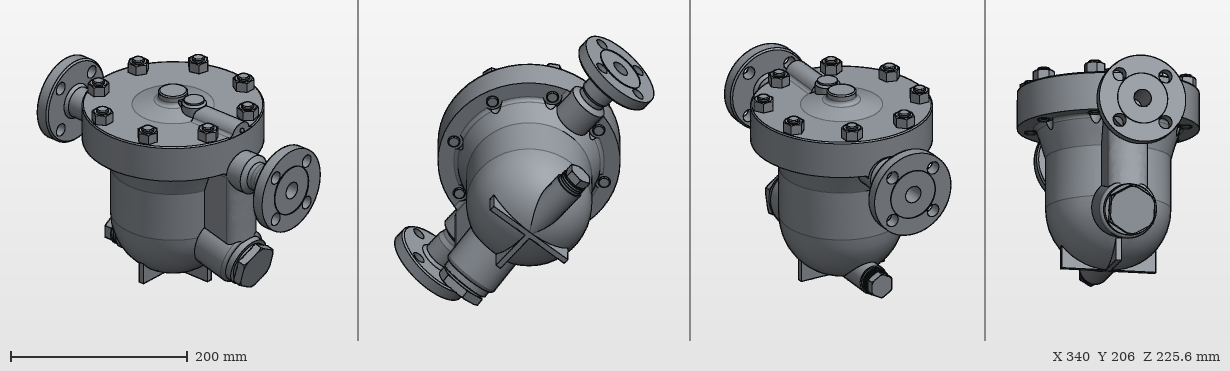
import cadquery as cq
import math


body_radius = 71.0
dome_center_z = -89.0
base_z = dome_center_z - body_radius
neck_radius = 80.5
neck_top_z = -0.5
neck_bottom_z = -30.4
flange_underside_z = 4.0
flange_underside_blend = flange_underside_z - neck_top_z

cover_radius = 103.0
joint_z = 26.8
cover_top_z = 47.5
cover_edge_chamfer = 1.5
crown_base_radius = 46.5
crown_top_radius = 21.5
crown_top_z = 53.5
cap_radius = 16.5
cap_blend = crown_top_radius - cap_radius
overall_height = 225.6
cap_top_z = base_z + overall_height
cap_chamfer = 1.5

bolt_count = 8
bolt_circle_radius = 89.0
first_bolt_angle = 180.0 / bolt_count
nut_across_flats = 21.0
nut_height = 12.3
nut_chamfer = 1.2
stud_diameter = 14.0
stud_top_z = 63.0
stud_bottom_z = 2.0
stud_chamfer = 1.2
spotface_diameter = 21.0
spotface_depth = 14.0

passage_radius = 15.0
passage_top_z = 60.0
passage_axis_z = passage_top_z - passage_radius
passage_start_x = 42.0
passage_end_radius = cover_radius - 0.2
passage_blend = 5.0
side_boss_x = 31.5
side_boss_radius = 14.0
side_cap_radius = 11.5
side_boss_top_z = 60.5
side_cap_top_z = 65.0
web_width = 15.0
pin_radius = 2.5
pin_z = 50.5
pin_tip_x = 106.0

inlet_face_x = -161.5
outlet_face_x = 178.5
pipe_flange_radius = 50.0
pipe_flange_thickness = 15.0
pipe_flange_chamfer = 2.0
raised_face_radius = 29.0
raised_face_height = 1.0
bore_radius = 10.0
bore_depth = 50.0
pipe_bolt_hole_diameter = 15.0
pipe_bolt_circle_radius = 37.5
pipe_bolt_count = 4
pipe_radius = 18.0
pipe_hub_radius = 21.0
pipe_hub_length = 4.0
weld_neck_radius = 16.3
port_boss_radius = 23.0
blend_overlap = 0.15
inlet_pipe_end_x = -118.0
inlet_weld_x = -115.0
inlet_weld_end_x = -109.5
inlet_boss_x = -105.0
outlet_pipe_end_x = 137.5
outlet_weld_x = 131.0
outlet_weld_end_x = 125.5
outlet_boss_x = 121.0

riser_flat_x = 100.5
riser_tip_x = 114.0
riser_half_width = port_boss_radius - 0.1
riser_bottom_z = -115.0

strainer_slope = 15.0
strainer_axis_z = -84.4
strainer_boss_radius = 33.0
strainer_boss_length = 109.0
strainer_face_radius = 29.0
strainer_face_end = 117.0
strainer_boss_rounding = 0.98 * (strainer_boss_radius - strainer_face_radius)
strainer_collar_radius = 49.5 / 2
strainer_collar_end = 120.4
strainer_plug_end = 130.3
strainer_hex_across_flats = 50.0

drain_boss_radius = 17.0
drain_axis_z = base_z + drain_boss_radius
drain_boss_length = 71.3
drain_seal_radius = 15.3
drain_seal_end = 80.0
drain_groove_start = 74.2
drain_groove_end = 77.0
drain_groove_radius = 14.5
drain_neck_radius = 14.0
drain_collar_end = 81.6
drain_plug_end = 91.2
drain_hex_across_flats = 26.0

rib_thickness = 6.5
rib_reach = 54.5
rib_top_z = -126.0


def turned(profile):
    """Solid of revolution about Z from (radius, z) points."""
    return cq.Workplane("XZ").polyline(profile).close().revolve(360, (0, 0, 0), (0, 1, 0))


def cylinder(radius, bottom, top):
    return cq.Workplane("XY").workplane(offset=bottom).circle(radius).extrude(top - bottom)


def hexagon(across_flats, bottom, top, chamfer):
    """Hexagonal prism with two flats facing +/-X and its corners turned off at the top."""
    corner_radius = across_flats / math.sqrt(3)
    prism = cq.Workplane("XY").workplane(offset=bottom)
    prism = prism.polygon(6, 2 * corner_radius).extrude(top - bottom).rotate((0, 0, 0), (0, 0, 1), 30)
    envelope = turned([
        (0, bottom),
        (corner_radius, bottom),
        (corner_radius, top - chamfer),
        (corner_radius - 2 * chamfer, top),
        (0, top),
    ])
    return prism.intersect(envelope)


def toward_x(shape, slope=0.0):
    """Lay a shape built along +Z onto +X, sloping down by the given angle."""
    return shape.rotate((0, 0, 0), (0, 1, 0), 90 + slope)


def toward_minus_x(shape):
    return shape.rotate((0, 0, 0), (0, 1, 0), -90)


def make_body():
    profile = (
        cq.Workplane("XZ")
        .moveTo(0, base_z)
        .radiusArc((body_radius, dome_center_z), -body_radius)
        .lineTo(body_radius, neck_bottom_z)
        .lineTo(neck_radius, neck_top_z)
        .radiusArc((neck_radius + flange_underside_blend, flange_underside_z), flange_underside_blend)
        .lineTo(cover_radius, flange_underside_z)
        .lineTo(cover_radius, joint_z)
        .lineTo(0, joint_z)
        .close()
    )
    return profile.revolve(360, (0, 0, 0), (0, 1, 0))


def make_cover():
    profile = (
        cq.Workplane("XZ")
        .moveTo(0, joint_z)
        .lineTo(cover_radius, joint_z)
        .lineTo(cover_radius, cover_top_z - cover_edge_chamfer)
        .lineTo(cover_radius - cover_edge_chamfer, cover_top_z)
        .lineTo(crown_base_radius, cover_top_z)
        .lineTo(crown_top_radius, crown_top_z)
        .radiusArc((cap_radius, crown_top_z + cap_blend), cap_blend)
        .lineTo(cap_radius, cap_top_z - cap_chamfer)
        .lineTo(cap_radius - cap_chamfer, cap_top_z)
        .lineTo(0, cap_top_z)
        .close()
    )
    return profile.revolve(360, (0, 0, 0), (0, 1, 0))


def make_passage():
    """Round passage along the cover with blended foot, side boss, web and end pin."""
    blend_rise = cover_top_z + passage_blend - passage_axis_z
    blend_span = passage_radius + passage_blend
    foot_half_width = math.sqrt(blend_span ** 2 - blend_rise ** 2)
    tangent_y = foot_half_width * passage_radius / blend_span
    tangent_z = passage_axis_z + blend_rise * passage_radius / blend_span
    foot_z = (joint_z + cover_top_z) / 2
    tube = (
        cq.Workplane("YZ", origin=(passage_start_x, 0, 0))
        .moveTo(-foot_half_width, foot_z)
        .lineTo(-foot_half_width, cover_top_z)
        .radiusArc((-tangent_y, tangent_z), -passage_blend)
        .threePointArc((0, passage_top_z), (tangent_y, tangent_z))
        .radiusArc((foot_half_width, cover_top_z), -passage_blend)
        .lineTo(foot_half_width, foot_z)
        .close()
        .extrude(cover_radius)
    )
    within_cover = cylinder(passage_end_radius, joint_z, cap_top_z)
    boss = turned([
        (0, joint_z),
        (side_boss_radius, joint_z),
        (side_boss_radius, side_boss_top_z),
        (side_cap_radius, side_boss_top_z + side_boss_radius - side_cap_radius),
        (side_cap_radius, side_cap_top_z),
        (0, side_cap_top_z),
    ]).translate((side_boss_x, 0, 0))
    web = cq.Workplane("XY").box(side_boss_x, web_width, side_boss_top_z - joint_z, centered=(False, True, False))
    web = web.translate((0, 0, joint_z))
    pin = toward_x(cylinder(pin_radius, 0, pin_tip_x).faces(">Z").edges().fillet(0.9 * pin_radius))
    pin = pin.translate((0, 0, pin_z))
    return tube.intersect(within_cover).union(boss).union(web).union(pin)


def bolt_places():
    """Rotation angle of each bolt position about Z."""
    return [first_bolt_angle + 360.0 / bolt_count * i for i in range(bolt_count)]


def make_bolt():
    """Stud and nut along Z, before being moved out to the bolt circle."""
    stud = cylinder(stud_diameter / 2, stud_bottom_z, stud_top_z).faces("<Z or >Z").chamfer(stud_chamfer)
    nut = hexagon(nut_across_flats, cover_top_z, cover_top_z + nut_height, nut_chamfer)
    return stud.union(nut).rotate((0, 0, 0), (0, 0, 1), -3 * first_bolt_angle)


def place_on_bolt_circle(shape, angle):
    return shape.translate((bolt_circle_radius, 0, 0)).rotate((0, 0, 0), (0, 0, 1), angle)


def make_port(face_x, pipe_end_x, weld_x, weld_end_x, boss_x):
    """Flanged port along +Z, from the vessel axis out to its raised face."""
    face, pipe_end, weld, weld_end, boss = [abs(x) for x in (face_x, pipe_end_x, weld_x, weld_end_x, boss_x)]
    flange_front = face - raised_face_height
    flange_back = flange_front - pipe_flange_thickness
    port = turned([
        (0, 0),
        (port_boss_radius, 0),
        (port_boss_radius, boss),
        (weld_neck_radius, weld_end),
        (weld_neck_radius, weld),
        (pipe_radius, pipe_end),
        (pipe_radius, flange_back - pipe_hub_length),
        (pipe_hub_radius, flange_back),
        (pipe_flange_radius - pipe_flange_chamfer, flange_back),
        (pipe_flange_radius, flange_back + pipe_flange_chamfer),
        (pipe_flange_radius, flange_front),
        (raised_face_radius, flange_front),
        (raised_face_radius, face),
        (bore_radius, face),
        (bore_radius, face - bore_depth),
        (0, face - bore_depth),
    ])
    bolt_holes = (
        cq.Workplane("XY", origin=(0, 0, flange_back))
        .polarArray(pipe_bolt_circle_radius, 45, 360, pipe_bolt_count)
        .circle(pipe_bolt_hole_diameter / 2)
        .extrude(face - flange_back)
    )
    return port.cut(bolt_holes)


def make_port_blend():
    """Fillet along X between the flange underside and both port bosses."""
    blend_axis_z = flange_underside_z - flange_underside_blend
    sunk_radius = port_boss_radius - blend_overlap
    blend_span = sunk_radius + flange_underside_blend
    blend_axis_y = math.sqrt(blend_span ** 2 - blend_axis_z ** 2)
    tangent_y = blend_axis_y * sunk_radius / blend_span
    tangent_z = blend_axis_z * sunk_radius / blend_span
    prism = (
        cq.Workplane("YZ")
        .moveTo(-blend_axis_y, joint_z)
        .lineTo(-blend_axis_y, flange_underside_z)
        .radiusArc((-tangent_y, tangent_z), flange_underside_blend)
        .lineTo(tangent_y, tangent_z)
        .radiusArc((blend_axis_y, flange_underside_z), flange_underside_blend)
        .lineTo(blend_axis_y, joint_z)
        .close()
        .extrude(cover_radius + 1, both=True)
    )
    return prism.intersect(cylinder(cover_radius, tangent_z, joint_z))


def make_riser():
    """Upright passage nearly as wide as the port boss, with a half-elliptical outer side."""
    depth = riser_tip_x - riser_flat_x
    outline = (
        cq.Workplane("XY", origin=(0, 0, riser_bottom_z))
        .moveTo(0, riser_half_width)
        .lineTo(0, -riser_half_width)
        .lineTo(riser_flat_x, -riser_half_width)
        .ellipseArc(depth, riser_half_width, -90, 90, startAtCurrent=True)
        .close()
    )
    return outline.extrude(-riser_bottom_z)


def make_strainer():
    boss = cylinder(strainer_boss_radius, 0, strainer_boss_length)
    boss = boss.faces(">Z").edges().fillet(strainer_boss_rounding)
    face = cylinder(strainer_face_radius, 0, strainer_face_end)
    collar = cylinder(strainer_collar_radius, 0, strainer_collar_end)
    plug = hexagon(strainer_hex_across_flats, strainer_collar_end, strainer_plug_end, nut_chamfer)
    plug = plug.rotate((0, 0, 0), (0, 0, 1), 90)
    strainer = boss.union(face).union(collar).union(plug)
    return toward_x(strainer, strainer_slope).translate((0, 0, strainer_axis_z))


def make_drain():
    fitting = turned([
        (0, 0),
        (drain_boss_radius, 0),
        (drain_boss_radius, drain_boss_length),
        (drain_seal_radius, drain_boss_length),
        (drain_seal_radius, drain_groove_start),
        (drain_groove_radius, drain_groove_start),
        (drain_groove_radius, drain_groove_end),
        (drain_seal_radius, drain_groove_end),
        (drain_seal_radius, drain_seal_end),
        (drain_neck_radius, drain_seal_end),
        (drain_neck_radius, drain_collar_end),
        (0, drain_collar_end),
    ])
    plug = hexagon(drain_hex_across_flats, drain_collar_end, drain_plug_end, nut_chamfer / 2)
    plug = plug.rotate((0, 0, 0), (0, 0, 1), 90)
    return toward_minus_x(fitting.union(plug)).translate((0, 0, drain_axis_z))


def make_ribs():
    height = rib_top_z - base_z
    across = cq.Workplane("XY").box(rib_thickness, 2 * rib_reach, height, centered=(True, True, False))
    along = cq.Workplane("XY").box(rib_reach, rib_thickness, height, centered=(False, True, False))
    return across.union(along).translate((0, 0, base_z))


inlet = make_port(inlet_face_x, inlet_pipe_end_x, inlet_weld_x, inlet_weld_end_x, inlet_boss_x)
outlet = make_port(outlet_face_x, outlet_pipe_end_x, outlet_weld_x, outlet_weld_end_x, outlet_boss_x)

result = make_body().union(toward_minus_x(inlet)).union(toward_x(outlet)).union(make_riser())
result = result.union(make_port_blend()).union(make_strainer()).union(make_drain()).union(make_ribs())
spotface = cylinder(spotface_diameter / 2, flange_underside_z - spotface_depth, flange_underside_z)
for angle in bolt_places():
    result = result.cut(place_on_bolt_circle(spotface, angle))

result = result.union(make_cover()).union(make_passage())
for angle in bolt_places():
    result = result.union(place_on_bolt_circle(make_bolt(), angle))